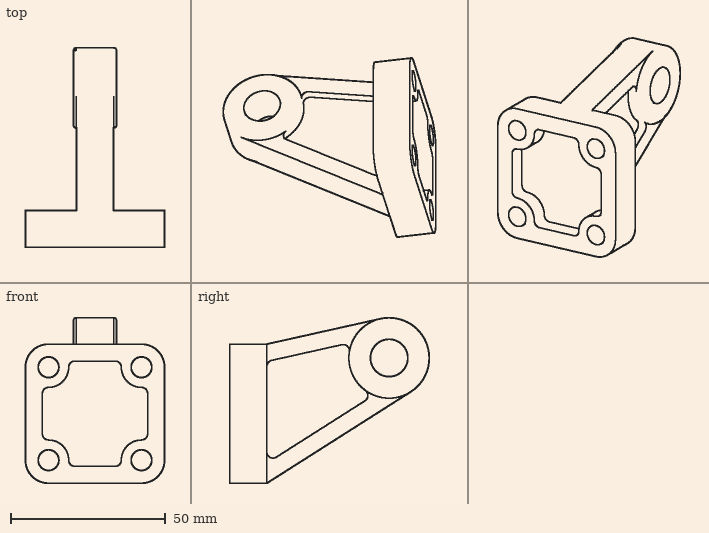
import cadquery as cq
import math

PLATE_SIDE = 45.0
PLATE_THICKNESS = 12.0
PLATE_CORNER_RADIUS = 7.5
BOLT_HOLE_DIAMETER = 6.6
BOLT_OFFSET = PLATE_SIDE / 2 - PLATE_CORNER_RADIUS
BOLT_POINTS = [(x, z) for x in (-BOLT_OFFSET, BOLT_OFFSET) for z in (-BOLT_OFFSET, BOLT_OFFSET)]

RECESS_SIDE = 34.0
RECESS_DEPTH = 6.0
RECESS_CORNER_RADIUS = 2.0
BOLT_PAD_RADIUS = 6.5

EYE_RADIUS = 13.0
EYE_WIDTH = 14.0
EYE_EDGE_RADIUS = 1.0
BORE_DIAMETER = 12.0
EYE_Y = 51.5
EYE_Z = 18.0

ARM_WIDTH = 12.0
WEB_THICKNESS = 6.0
FLANGE_THICKNESS = 5.5
ARM_POCKET_CORNER_RADIUS = 2.0


def side_plane(width):
    """YZ workplane at the -X side of a block that is centred on X = 0."""
    return cq.Workplane("YZ", origin=(-width / 2, 0, 0))


def eye_cylinder(radius, width):
    """Cylinder along X on the eye axis."""
    return side_plane(width).center(EYE_Y, EYE_Z).circle(radius).extrude(width)


def arm_edge(side, inset):
    """Ends of an arm edge, moved inward by inset; side is +1 for the upper edge and -1 for the lower.

    With no inset, the edge runs from the plate's back edge to where it touches the eye.
    """
    corner_y = PLATE_THICKNESS - EYE_Y
    corner_z = side * PLATE_SIDE / 2 - EYE_Z
    reach = math.hypot(corner_y, corner_z)
    normal_angle = math.atan2(corner_z, corner_y) - side * math.acos(EYE_RADIUS / reach)
    normal_y = math.cos(normal_angle)
    normal_z = math.sin(normal_angle)

    distance = EYE_RADIUS - inset
    eye_end = (EYE_Y + distance * normal_y, EYE_Z + distance * normal_z)
    plate_end_z = EYE_Z + (distance - corner_y * normal_y) / normal_z
    return (PLATE_THICKNESS, plate_end_z), eye_end


def arm_block(inset, width):
    """Tapered block between the plate and the eye axis."""
    upper_plate, upper_eye = arm_edge(1, inset)
    lower_plate, lower_eye = arm_edge(-1, inset)
    corners = [upper_plate, upper_eye, (EYE_Y, EYE_Z), lower_eye, lower_plate]
    return side_plane(width).polyline(corners).close().extrude(width)


def make_plate():
    plate = cq.Workplane("XZ").rect(PLATE_SIDE, PLATE_SIDE).extrude(-PLATE_THICKNESS)
    plate = plate.edges("|Y").fillet(PLATE_CORNER_RADIUS)
    holes = cq.Workplane("XZ").pushPoints(BOLT_POINTS).circle(BOLT_HOLE_DIAMETER / 2)
    return plate.cut(holes.extrude(-PLATE_THICKNESS))


def quarter_turn(point, turns):
    """Turn a plate-plane point counterclockwise about the plate centre by whole quarter turns."""
    x, z = point
    for _ in range(turns):
        x, z = -z, x
    return (x, z)


def make_recess():
    """Square recess curving around a round pad at each bolt hole.

    The pad arc and the corner roundings on both sides of it meet tangentially.
    """
    half_side = RECESS_SIDE / 2
    pad_edge = BOLT_OFFSET - BOLT_PAD_RADIUS
    straight_end = pad_edge - RECESS_CORNER_RADIUS

    outline = cq.Workplane("XZ").moveTo(half_side, -straight_end)
    for turns in range(4):
        outline = outline.lineTo(*quarter_turn((half_side, straight_end), turns))
        outline = outline.tangentArcPoint(quarter_turn((BOLT_OFFSET, pad_edge), turns), relative=False)
        outline = outline.tangentArcPoint(quarter_turn((pad_edge, BOLT_OFFSET), turns), relative=False)
        outline = outline.tangentArcPoint(quarter_turn((straight_end, half_side), turns), relative=False)
    return outline.close().extrude(-RECESS_DEPTH)


def make_arm():
    arm = arm_block(0, ARM_WIDTH)
    pockets = arm_block(FLANGE_THICKNESS, ARM_WIDTH).cut(eye_cylinder(EYE_RADIUS, ARM_WIDTH))
    pockets = pockets.edges("|X").fillet(ARM_POCKET_CORNER_RADIUS)
    web = arm_block(0, WEB_THICKNESS)
    return arm.cut(pockets).union(web)


def make_eye():
    eye = eye_cylinder(EYE_RADIUS, EYE_WIDTH)
    return eye.faces("<X or >X").edges().fillet(EYE_EDGE_RADIUS)


result = (
    make_plate()
    .cut(make_recess())
    .union(make_arm())
    .union(make_eye())
    .cut(eye_cylinder(BORE_DIAMETER / 2, EYE_WIDTH))
)